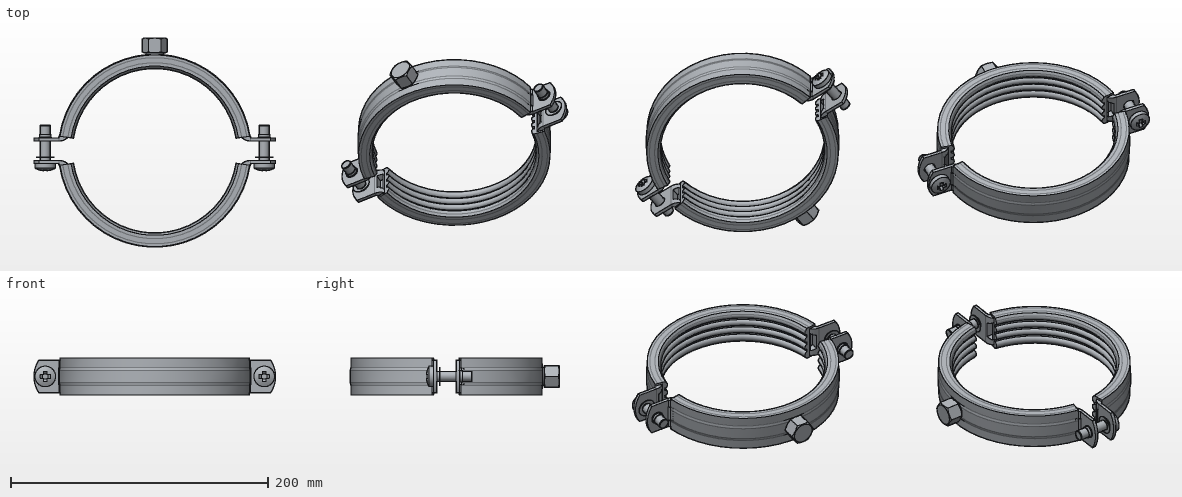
import cadquery as cq
import math

ring_width = 28.95
half_width = ring_width / 2
rim_radius = 74.5
seam_radii = (72.4, 68.4)
edge_radius = 65.8
valley_radius = 66.2
rib_tip_radius = 63.8
rib_pitch = 7.0
rib_count = 4
rib_half_height = 2.6
bevel_radius = 64.4
bevel_height = 12.5
end_angle = 8.7

bead_radius = 75.0
bead_base_half_width = 7.0
bead_crest_half_width = 4.8

tab_reach = 94.0
tab_half_height = 12.7
tab_corner_reach = 90.1
tab_inner_face = 7.5
tab_outer_face = 10.0
bend_start = 74.5
bend_mid = (70.9, 8.1)
bend_end = (67.0, 11.0)
bend_back_end = (73.6, 11.2)
bend_root = (70.0, 14.0)

bead_foot_top = (74.2, 11.8)
bead_foot_half_width = 6.4
pocket_inner_x = seam_radii[1]
pocket_outer_x = 72.6
pocket_mouth_half_height = 8.0
pocket_floor_half_height = 6.2
pocket_end = 13.5

screw_x = 85.1
shank_diameter = 8.0
tip_diameter = 7.38
tip_chamfer_length = 0.7
screw_tip_y = 20.0
hole_diameter = 9.0
collar_diameter = 9.0
collar_foot_diameter = 10.0
collar_foot_height = 0.5
collar_top_y = 12.6
head_diameter = 16.0
head_rim_height = 3.6
head_height = 5.75
washer_diameter = 14.0
washer_thickness = 0.5
washer_y = -5.4

recess_arm_count = 4
recess_reach = 4.3
recess_arm_width = 2.9
recess_core_diameter = 4.0
recess_depth = 3.0

nut_across_flats = 17.0
nut_top_y = 87.74
nut_base_y = 75.9
nut_chamfer = 0.9
nut_neck_diameter = 14.0


def revolve_half(profile):
    """Turn an XZ profile about Z into the half ring on the +Y side."""
    sweep = 180 - 2 * end_angle
    turned = profile.revolve(sweep, (0, 0, 0), (0, 1, 0), clean=False)
    return turned.rotate((0, 0, 0), (0, 0, 1), end_angle)


def lining():
    """Ribbed lining; seam points on the flat sides keep lips and band as separate faces."""
    outline = cq.Workplane("XZ").moveTo(rim_radius, -half_width).lineTo(rim_radius, half_width)
    for radius in seam_radii:
        outline = outline.lineTo(radius, half_width)
    outline = outline.lineTo(edge_radius, half_width)
    for index in range(rib_count):
        centre = ((rib_count - 1) / 2 - index) * rib_pitch
        start = (valley_radius, centre + rib_half_height)
        end = (valley_radius, centre - rib_half_height)
        if index == 0:
            start = (bevel_radius, bevel_height)
        if index == rib_count - 1:
            end = (bevel_radius, -bevel_height)
        outline = outline.lineTo(*start).threePointArc((rib_tip_radius, centre), end)
    outline = outline.lineTo(edge_radius, -half_width)
    for radius in reversed(seam_radii):
        outline = outline.lineTo(radius, -half_width)
    return revolve_half(outline.close())


def bead():
    """Raised band of trapezoid section around the middle of the half ring."""
    outline = cq.Workplane("XZ").polyline([
        (seam_radii[0], -bead_base_half_width),
        (rim_radius, -bead_base_half_width),
        (bead_radius, -bead_crest_half_width),
        (bead_radius, bead_crest_half_width),
        (rim_radius, bead_base_half_width),
        (seam_radii[0], bead_base_half_width),
    ])
    return revolve_half(outline.close())


def tab():
    """Flat tab at +X, +Y with a bend running up into the half ring."""
    bend = (
        cq.Workplane("XY")
        .moveTo(bend_start, tab_inner_face)
        .threePointArc(bend_mid, bend_end)
        .lineTo(*bend_root)
        .lineTo(*bend_back_end)
        .lineTo(bend_start, tab_outer_face)
        .close()
        .extrude(tab_half_height, both=True)
    )
    plate = (
        cq.Workplane("XZ", origin=(0, tab_inner_face, 0))
        .moveTo(bend_start, -tab_half_height)
        .lineTo(tab_corner_reach, -tab_half_height)
        .threePointArc((tab_reach, 0), (tab_corner_reach, tab_half_height))
        .lineTo(bend_start, tab_half_height)
        .close()
        .extrude(tab_inner_face - tab_outer_face)
    )
    hole = cylinder_y(hole_diameter, tab_inner_face, tab_outer_face)
    foot = (
        cq.Workplane("XY")
        .polyline([
            (bead_radius, tab_outer_face), bead_foot_top,
            (pocket_outer_x, bead_foot_top[1]), (pocket_outer_x, tab_outer_face),
        ])
        .close()
        .extrude(bead_foot_half_width, both=True)
    )
    return bend.union(plate.cut(hole), clean=False).union(foot, clean=False)


def cylinder_y(diameter, start_y, end_y):
    """Cylinder along Y on the screw axis at +X."""
    plane = cq.Workplane("XZ", origin=(screw_x, start_y, 0))
    return plane.circle(diameter / 2).extrude(start_y - end_y)


def bead_pocket():
    """Open end of the hollow bead, seen in the bend of the tab."""
    outline = cq.Workplane("XZ", origin=(0, tab_inner_face, 0)).polyline([
        (pocket_inner_x, -pocket_mouth_half_height),
        (pocket_outer_x, -pocket_floor_half_height),
        (pocket_outer_x, pocket_floor_half_height),
        (pocket_inner_x, pocket_mouth_half_height),
    ])
    return outline.close().extrude(tab_inner_face - pocket_end)


def mirrored_in_x(shape):
    """The shape together with its mirror image on the -X side."""
    return shape.union(shape.mirror("YZ"), clean=False)


def half_clamp():
    """Half ring on the +Y side with a tab at each end."""
    half = lining().union(bead(), clean=False).union(mirrored_in_x(tab()), clean=False)
    return half.cut(mirrored_in_x(bead_pocket()), clean=False)


def recess():
    """Cross recess: a round core and four arms whose floors slope down to it."""
    top_y = -tab_outer_face - head_height
    floor_y = top_y + recess_depth
    cutter = cylinder_y(recess_core_diameter, top_y, floor_y)
    arm = (
        cq.Workplane("XY")
        .polyline([(0, top_y), (recess_reach, top_y), (recess_core_diameter / 2, floor_y), (0, floor_y)])
        .close()
        .extrude(recess_arm_width / 2, both=True)
    )
    for index in range(recess_arm_count):
        turned = arm.rotate((0, 0, 0), (0, 1, 0), index * 360 / recess_arm_count)
        cutter = cutter.union(turned.translate((screw_x, 0, 0)))
    return cutter


def screw():
    """Screw, washer and threaded collar, turned about the screw axis at +X."""
    shank = shank_diameter / 2
    collar = collar_diameter / 2
    head_y = -tab_outer_face
    rim_y = head_y - head_rim_height
    crown_y = head_y - head_height
    head = head_diameter / 2
    dome_height = head_height - head_rim_height
    dome_radius = (head ** 2 + dome_height ** 2) / (2 * dome_height)
    mid_drop = dome_radius - math.sqrt(dome_radius ** 2 - (head / 2) ** 2)
    dome_mid = (head / 2, crown_y + mid_drop)
    washer_top_y = washer_y + washer_thickness
    outline = (
        cq.Workplane("XY")
        .moveTo(0, crown_y)
        .threePointArc(dome_mid, (head, rim_y))
        .lineTo(head, head_y)
        .lineTo(shank, head_y)
        .lineTo(shank, washer_y)
        .lineTo(washer_diameter / 2, washer_y)
        .lineTo(washer_diameter / 2, washer_top_y)
        .lineTo(shank, washer_top_y)
        .lineTo(shank, tab_outer_face)
        .lineTo(collar_foot_diameter / 2, tab_outer_face)
        .lineTo(collar, tab_outer_face + collar_foot_height)
        .lineTo(collar, collar_top_y)
        .lineTo(shank, collar_top_y)
        .lineTo(shank, screw_tip_y - tip_chamfer_length)
        .lineTo(tip_diameter / 2, screw_tip_y)
        .lineTo(0, screw_tip_y)
        .close()
    )
    turned = outline.revolve(360, (0, 0, 0), (0, 1, 0)).translate((screw_x, 0, 0))
    return turned.cut(recess())


def nut():
    """Hexagon nut chamfered at both ends, on a round neck rooted in the ring."""
    across_corners = nut_across_flats / math.cos(math.radians(30))
    height = nut_top_y - nut_base_y
    root_y = seam_radii[0]
    prism = (
        cq.Workplane("XZ", origin=(0, nut_base_y, 0))
        .polygon(6, across_corners)
        .extrude(-height)
    )
    chamfered_round = (
        cq.Workplane("XZ", origin=(0, nut_base_y, 0))
        .circle(across_corners / 2)
        .extrude(-height)
        .edges()
        .chamfer(nut_chamfer, 2 * nut_chamfer)
    )
    neck = (
        cq.Workplane("XZ", origin=(0, root_y, 0))
        .circle(nut_neck_diameter / 2)
        .extrude(root_y - nut_base_y)
    )
    return prism.intersect(chamfered_round).union(neck)


upper_half = half_clamp()
lower_half = upper_half.mirror("XZ")
result = (
    upper_half.union(mirrored_in_x(screw()), clean=False)
    .union(lower_half, clean=False)
    .union(nut(), clean=False)
)